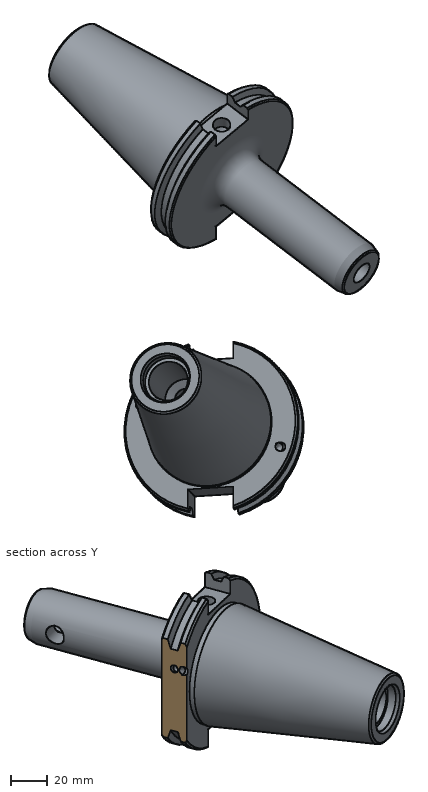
import cadquery as cq
import math


taper_length = 101.725
gauge_diameter = 69.85
taper_ratio = 7 / 24
small_diameter = gauge_diameter - taper_length * taper_ratio
small_end_chamfer = 1.0
collar_diameter = 69.25
collar_chamfer_length = 1.1

flange_diameter = 98.06
flange_start = taper_length + 3.175
flange_width = 15.875
flange_end = flange_start + flange_width
flange_middle = flange_start + flange_width / 2
flange_rear_chamfer = 1.1
flange_front_chamfer = 0.8
groove_middle = flange_middle
groove_depth = 3.3
groove_floor_width = 4.2
groove_wall_angle = 30

shank_diameter = 31.75
shank_fillet = 9.525
total_length = 219.2
nose_length = 5.6
nose_angle = 15
tip_chamfer = 0.8

pilot_diameter = 26.2
pilot_mouth_diameter = 28.0
pilot_mouth_depth = 2.0
pilot_depth = 6.8
thread_diameter = 21.97
thread_depth = 45.0
through_diameter = 12.7
drill_half_angle = 59

slot_width = 25.5
upper_slot_floor = 37.7
lower_slot_floor = 35.3

slot_hole_diameter = 9.53
slot_hole_depth = 8.0

coolant_angle = 20
coolant_pitch_radius = 42.0
coolant_diameter = 5.0
coolant_tilt = 30
coolant_overrun = 3.0
coolant_depth = 4.0
plug_diameter = 4.13
plug_depth = 9.0

screw_hole_diameter = 11.2
screw_hole_from_tip = 20.4


def turned_body():
    flange_radius = flange_diameter / 2
    shank_radius = shank_diameter / 2
    groove_radius = flange_radius - groove_depth
    floor_half = groove_floor_width / 2
    mouth_half = floor_half + groove_depth * math.tan(math.radians(groove_wall_angle))
    nose_drop = (nose_length - tip_chamfer) * math.tan(math.radians(nose_angle))
    small_radius = small_diameter / 2
    chamfer_end_radius = small_radius + small_end_chamfer * taper_ratio / 2
    fillet_middle = shank_fillet * (1 - math.sqrt(0.5))
    return (
        cq.Workplane("XY")
        .moveTo(0, 0)
        .lineTo(0, small_radius - small_end_chamfer)
        .lineTo(small_end_chamfer, chamfer_end_radius)
        .lineTo(taper_length, gauge_diameter / 2)
        .lineTo(taper_length + collar_chamfer_length, collar_diameter / 2)
        .lineTo(flange_start, collar_diameter / 2)
        .lineTo(flange_start, flange_radius - flange_rear_chamfer)
        .lineTo(flange_start + flange_rear_chamfer, flange_radius)
        .lineTo(groove_middle - mouth_half, flange_radius)
        .lineTo(groove_middle - floor_half, groove_radius)
        .lineTo(groove_middle + floor_half, groove_radius)
        .lineTo(groove_middle + mouth_half, flange_radius)
        .lineTo(flange_end - flange_front_chamfer, flange_radius)
        .lineTo(flange_end, flange_radius - flange_front_chamfer)
        .lineTo(flange_end, shank_radius + shank_fillet)
        .threePointArc(
            (flange_end + fillet_middle, shank_radius + fillet_middle),
            (flange_end + shank_fillet, shank_radius),
        )
        .lineTo(total_length - nose_length, shank_radius)
        .lineTo(total_length - tip_chamfer, shank_radius - nose_drop)
        .lineTo(total_length, shank_radius - nose_drop - tip_chamfer)
        .lineTo(total_length, 0)
        .close()
        .revolve(360, (0, 0, 0), (1, 0, 0))
    )


def central_bore():
    pilot_radius = pilot_diameter / 2
    mouth_radius = pilot_mouth_diameter / 2
    thread_radius = thread_diameter / 2
    through_radius = through_diameter / 2
    cone_length = (thread_radius - through_radius) / math.tan(math.radians(drill_half_angle))
    return (
        cq.Workplane("XY")
        .moveTo(0, 0)
        .lineTo(0, mouth_radius)
        .lineTo(pilot_mouth_depth, pilot_radius)
        .lineTo(pilot_depth, pilot_radius)
        .lineTo(pilot_depth, thread_radius)
        .lineTo(thread_depth, thread_radius)
        .lineTo(thread_depth + cone_length, through_radius)
        .lineTo(total_length, through_radius)
        .lineTo(total_length, 0)
        .close()
        .revolve(360, (0, 0, 0), (1, 0, 0))
    )


def drive_slots():
    height = flange_diameter
    size = (flange_width, slot_width, height)
    upper = cq.Workplane("XY").box(*size).translate((flange_middle, 0, upper_slot_floor + height / 2))
    lower = cq.Workplane("XY").box(*size).translate((flange_middle, 0, -lower_slot_floor - height / 2))
    return upper.union(lower)


def drilled_hole(mouth, direction, diameter, depth):
    """A blind hole with a drill-point end; depth is that of its full diameter."""
    radius = diameter / 2
    point = radius / math.tan(math.radians(drill_half_angle))
    start = cq.Vector(*mouth)
    way = cq.Vector(*direction)
    barrel = cq.Solid.makeCylinder(radius, depth, start, way)
    tip = cq.Solid.makeCone(radius, 0, point, start + way * depth, way)
    return cq.Workplane(barrel.fuse(tip))


def slot_hole():
    mouth = (flange_middle, 0, upper_slot_floor)
    return drilled_hole(mouth, (0, 0, -1), slot_hole_diameter, slot_hole_depth)


def coolant_holes(angle):
    """Plug hole and tilted coolant hole on one side, at the given angle from +Y."""
    across = math.cos(math.radians(angle))
    up = math.sin(math.radians(angle))
    rim_radius = flange_diameter / 2
    plug_mouth = (groove_middle, rim_radius * across, rim_radius * up)
    plug_drilling = plug_depth + groove_depth
    holes = drilled_hole(plug_mouth, (0, -across, -up), plug_diameter, plug_drilling)
    inward = math.sin(math.radians(coolant_tilt))
    along = math.cos(math.radians(coolant_tilt))
    way = (along, -inward * across, -inward * up)
    start_radius = coolant_pitch_radius + coolant_overrun * inward
    start_x = flange_start - coolant_overrun * along
    mouth = (start_x, start_radius * across, start_radius * up)
    coolant_drilling = coolant_depth + coolant_overrun
    return holes.union(drilled_hole(mouth, way, coolant_diameter, coolant_drilling))


def screw_hole():
    position = cq.Vector(total_length - screw_hole_from_tip, 0, 0)
    way = cq.Vector(0, 1, 0)
    return cq.Workplane(cq.Solid.makeCylinder(screw_hole_diameter / 2, shank_diameter, position, way))


result = turned_body().cut(central_bore()).cut(drive_slots()).cut(slot_hole()).cut(screw_hole())
for side_angle in (coolant_angle, coolant_angle + 180):
    result = result.cut(coolant_holes(side_angle))